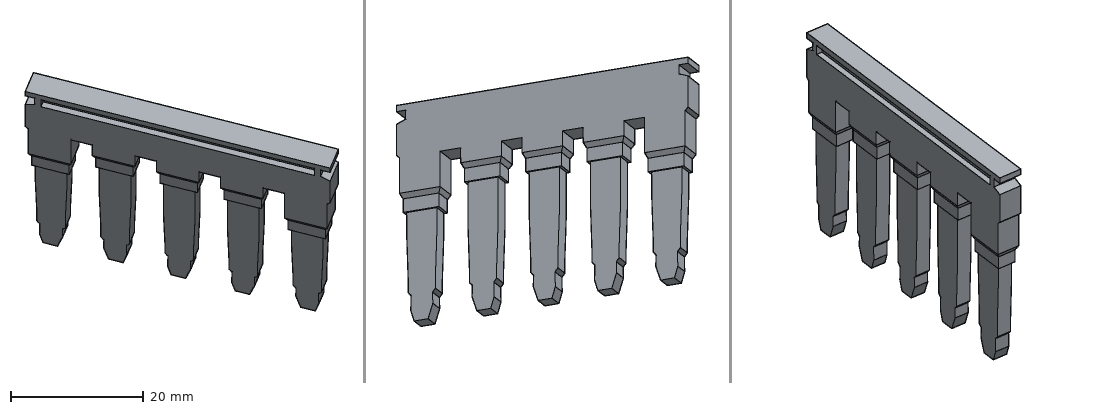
import cadquery as cq

LENGTH = 48.6
THICKNESS = 4.0
HEIGHT = 35.15

FLANGE_BOTTOM = -1.0
NECK_INSET = 1.5
NECK_BOTTOM = -2.5
SHOULDER_TOP = -3.05

SLOT_END_MARGIN = 2.55
SLOT_HEIGHT = 1.6
SLOT_DEPTH = 1.0

BODY_BOTTOM = -8.6
BODY_CHAMFER = 0.5

PIN_PITCH = 10.2
OUTER_PIN = 2
LEG_WIDTH = 2 * (LENGTH / 2 - BODY_CHAMFER - OUTER_PIN * PIN_PITCH)
OUTER_LEG_BOTTOM = -14.35
INNER_LEG_BOTTOM = -11.05
COLLAR_WIDTH = 6.0
COLLAR_THICKNESS = 3.1
COLLAR_TAPER_HEIGHT = 0.85
COLLAR_HEIGHT = 2.2
PIN_THICKNESS = 2.55

SHANK_HALF = 2.55
SHANK_TAPER_TOP = -21.0
SHANK_TAPER_BOTTOM = -28.2
SHANK_END_HALF = 2.3
SHANK_BOTTOM = -30.38
WAIST_HALF = 1.8
WAIST_TOP = -30.95
BULGE_HALF = 1.85
LOW_BULGE = -33.35
HIGH_BULGE = -32.75
TIP_HALF = 1.15
TIP_OFFSET = 0.12

PIN_LEANS = {-OUTER_PIN: -1, -1: 1, 0: -1, 1: -1, OUTER_PIN: 1}


def extrude_outline(points, thickness):
    """Extrude an XZ outline symmetrically about the Y = 0 plane."""
    return cq.Workplane("XZ").polyline(points).close().extrude(thickness / 2, both=True)


def make_body():
    end = LENGTH / 2
    right_side = [
        (end, 0),
        (end, FLANGE_BOTTOM),
        (end - NECK_INSET, FLANGE_BOTTOM),
        (end - NECK_INSET, NECK_BOTTOM),
        (end, SHOULDER_TOP),
        (end, BODY_BOTTOM + BODY_CHAMFER),
        (end - BODY_CHAMFER, BODY_BOTTOM),
    ]
    left_side = [(-x, z) for x, z in reversed(right_side)]
    body = extrude_outline(right_side + left_side, THICKNESS)

    slot_length = LENGTH - 2 * SLOT_END_MARGIN
    slot = cq.Workplane("XY").box(slot_length, SLOT_DEPTH, SLOT_HEIGHT, centered=(True, False, False))
    return body.cut(slot.translate((0, -THICKNESS / 2, FLANGE_BOTTOM - SLOT_HEIGHT)))


def make_leg(x, leg_bottom):
    """Leg below the body, tapering into a narrower collar."""
    leg = (
        cq.Workplane("XY", origin=(x, 0, BODY_BOTTOM))
        .rect(LEG_WIDTH, THICKNESS)
        .extrude(leg_bottom - BODY_BOTTOM)
    )
    taper = (
        cq.Workplane("XY", origin=(x, 0, leg_bottom))
        .rect(LEG_WIDTH, THICKNESS)
        .workplane(offset=-COLLAR_TAPER_HEIGHT)
        .rect(COLLAR_WIDTH, COLLAR_THICKNESS)
        .loft(ruled=True)
    )
    collar = (
        cq.Workplane("XY", origin=(x, 0, leg_bottom - COLLAR_TAPER_HEIGHT))
        .rect(COLLAR_WIDTH, COLLAR_THICKNESS)
        .extrude(-COLLAR_HEIGHT)
    )
    return leg.union(taper).union(collar)


def make_pin(x, top, lean):
    """Contact pin whose tip is shifted towards the side given by lean."""

    def side_points(side):
        bulge_level = LOW_BULGE if side == lean else HIGH_BULGE
        return [
            (x + side * SHANK_HALF, top),
            (x + side * SHANK_HALF, SHANK_TAPER_TOP),
            (x + side * SHANK_END_HALF, SHANK_TAPER_BOTTOM),
            (x + side * SHANK_END_HALF, SHANK_BOTTOM),
            (x + side * WAIST_HALF, WAIST_TOP),
            (x + side * BULGE_HALF, bulge_level),
            (x + side * TIP_HALF + lean * TIP_OFFSET, -HEIGHT),
        ]

    return extrude_outline(side_points(1) + side_points(-1)[::-1], PIN_THICKNESS)


result = make_body()
for index, lean in PIN_LEANS.items():
    pin_x = index * PIN_PITCH
    leg_bottom = OUTER_LEG_BOTTOM if abs(index) == OUTER_PIN else INNER_LEG_BOTTOM
    collar_bottom = leg_bottom - COLLAR_TAPER_HEIGHT - COLLAR_HEIGHT
    result = result.union(make_leg(pin_x, leg_bottom))
    result = result.union(make_pin(pin_x, collar_bottom, lean))